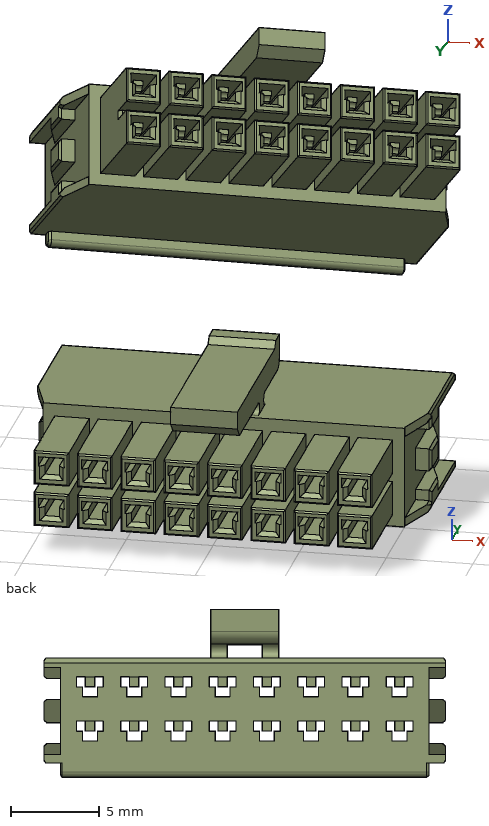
import cadquery as cq
import math


body_width = 20.85
body_length = 9.85
body_top = 3.0
body_bottom = -2.95
flange_width = 22.7
flange_inner = 2.45
flange_taper_start = 2.95
flange_taper_end = 0.15
rear_chamfer_length = 0.4
rear_chamfer_height = 0.28
edge_chamfer_width = 0.1
edge_chamfer_height = 0.16

wedge_height = 1.33
wedge_outer_bottom = 1.83
wedge_rear = 7.7
wedge_crest = 5.03
wedge_front = 3.2
wedge_chamfer = 0.15

rail_length = 0.8
rail_drop = 0.8
rail_edge_radius = 0.3
rail_end_chamfer = 0.1
rail_end_margin = 0.16

columns = 8
pitch = 2.5
tower_size = 2.0
tower_reach = 5.85
tower_chamfer = 0.09

web_thickness = 0.52
web_front = -4.13
web_bevel = 0.2

opening_width = 1.5
opening_top = 0.68
opening_step = 0.12
channel_width = 0.83
channel_bottom = -0.43
mouth_width = 1.34
mouth_bottom = -0.66
mouth_depth = 0.25

tab_width = 0.54
tab_front = -4.6
tab_arc_radius = 0.27
tab_rear = -2.0

latch_width = 3.85
latch_rear = 6.38
latch_front = -5.52
latch_top = 5.75
latch_lever_top = 5.34
latch_step_rear = 5.31
latch_step_front = 4.97
latch_rear_underside = 3.79
latch_front_underside = 3.72
latch_rear_radius = 0.7
latch_front_chamfer = 0.6
neck_rear = 1.89
neck_front = 0.76
neck_window_width = 1.96

tower_tip = -tower_reach
half_body = body_width / 2
half_flange = flange_width / 2
column_xs = [(i - (columns - 1) / 2) * pitch for i in range(columns)]
row_zs = [-pitch / 2, pitch / 2]


def box(x_min, x_max, y_min, y_max, z_min, z_max):
    """Box given by its limits along each axis."""
    size = (x_max - x_min, y_max - y_min, z_max - z_min)
    return cq.Workplane("XY").box(*size, centered=False).translate((x_min, y_min, z_min))


def side_profile(points, width):
    """Closed YZ outline extruded symmetrically about X = 0."""
    return cq.Workplane("YZ").polyline(points).close().extrude(width / 2, both=True)


def make_flange(z_inner, z_outer):
    """Full-width plate, tapered to the body width at the front, with bevelled outer side edges."""
    outline = [
        (-half_body, flange_taper_end),
        (half_body, flange_taper_end),
        (half_flange, flange_taper_start),
        (half_flange, body_length),
        (-half_flange, body_length),
        (-half_flange, flange_taper_start),
    ]
    bevelled_half = half_flange - edge_chamfer_width
    bevel_start = z_outer - math.copysign(edge_chamfer_height, z_outer)
    section = [
        (-half_flange, z_inner),
        (half_flange, z_inner),
        (half_flange, bevel_start),
        (bevelled_half, z_outer),
        (-bevelled_half, z_outer),
        (-half_flange, bevel_start),
    ]
    plate = cq.Workplane("XY", origin=(0, 0, body_bottom)).polyline(outline).close()
    plate = plate.extrude(body_top - body_bottom)
    bar = cq.Workplane("XZ").polyline(section).close().extrude(-body_length)
    return plate.intersect(bar)


def make_body():
    """Rectangular housing with top and bottom flanges."""
    body = box(-half_body, half_body, 0, body_length, body_bottom, body_top)
    body = body.union(make_flange(flange_inner, body_top))
    body = body.union(make_flange(-flange_inner, body_bottom))
    rear_corner = [
        (body_length - rear_chamfer_length, body_top),
        (body_length, body_top),
        (body_length, body_top - rear_chamfer_height),
    ]
    return body.cut(side_profile(rear_corner, flange_width))


def make_wedge(z_min, z_max):
    """Ramped key on the -X side wall."""
    outline = [
        (-half_body, wedge_rear),
        (-half_flange, wedge_crest),
        (-half_flange, wedge_front),
        (-half_body, wedge_front),
    ]
    wedge = cq.Workplane("XY").polyline(outline).close().extrude(z_max - z_min)
    return wedge.translate((0, 0, z_min))


def add_wedges(body):
    """Three keys on each side; the outer two run into the flanges, and the crests are chamfered."""
    limits = [
        (-wedge_height / 2, wedge_height / 2),
        (wedge_outer_bottom, body_top - edge_chamfer_height),
        (body_bottom + edge_chamfer_height, -wedge_outer_bottom),
    ]
    for z_min, z_max in limits:
        wedge = make_wedge(z_min, z_max)
        body = body.union(wedge).union(wedge.mirror("YZ"))
    margin = 0.01
    for side in (-1, 1):
        crest_edges = cq.selectors.BoxSelector(
            (side * half_flange - margin, flange_taper_start, -flange_inner - margin),
            (side * half_flange + margin, wedge_crest - margin, flange_inner + margin),
        )
        body = body.edges(crest_edges).chamfer(wedge_chamfer)
    return body


def make_rail():
    """Bar hanging below the rear edge, with rounded lower edges and bevelled ends."""
    rail = box(-half_body, half_body, body_length - rail_length, body_length, body_bottom - rail_drop, body_bottom)
    rail = rail.edges("|X and <Z").fillet(rail_edge_radius)
    return rail.faces("<X or >X").edges("not >Z").chamfer(rail_end_chamfer, rail_end_margin)


def make_towers():
    """Two rows of square towers standing forward of the body."""
    towers = cq.Workplane("XY")
    half = tower_size / 2
    for x in column_xs:
        for z in row_zs:
            tower = box(x - half, x + half, tower_tip, 0, z - half, z + half)
            towers = towers.add(tower.faces("<Y").edges().chamfer(tower_chamfer))
    return towers.combine()


def make_row_web():
    """Bevelled web joining the two towers of the first column along their outer side."""
    left = column_xs[0] - tower_size / 2
    gap = pitch - tower_size
    web = box(left, left + web_thickness, web_front, 0, -gap / 2, gap / 2)
    return web.edges("<X and <Y").chamfer(web_bevel)


def make_tab():
    """Tab hanging from the socket ceiling with a hollow under its front, for a tower at the origin."""
    arc_offset = tab_arc_radius * math.sqrt(0.5)
    return (
        cq.Workplane("YZ")
        .moveTo(tab_front, opening_top)
        .lineTo(tab_front, opening_step + tab_arc_radius)
        .threePointArc(
            (tab_front + arc_offset, opening_step + arc_offset),
            (tab_front + tab_arc_radius, opening_step),
        )
        .lineTo(tab_rear, opening_step)
        .lineTo(tab_rear, opening_top)
        .close()
        .extrude(tab_width / 2, both=True)
    )


def make_socket():
    """Through opening with a tapered mouth and a tab left standing, for a tower at the origin."""
    half_opening = opening_width / 2
    half_channel = channel_width / 2
    socket = box(-half_opening, half_opening, tower_tip, body_length, opening_step, opening_top)
    socket = socket.union(box(-half_channel, half_channel, tower_tip, body_length, channel_bottom, opening_step))
    half_mouth = mouth_width / 2
    mouth = (
        cq.Workplane("XZ", origin=(0, tower_tip, 0))
        .polyline([
            (-half_mouth, opening_step),
            (half_mouth, opening_step),
            (half_mouth, mouth_bottom),
            (-half_mouth, mouth_bottom),
        ])
        .close()
        .workplane(offset=-mouth_depth)
        .polyline([
            (-half_channel, opening_step),
            (half_channel, opening_step),
            (half_channel, channel_bottom),
            (-half_channel, channel_bottom),
        ])
        .close()
        .loft(ruled=True)
    )
    return socket.union(mouth).cut(make_tab())


def make_latch():
    """Lever on a two-legged neck; the gaps under the lever end in half rounds."""
    front_radius = (latch_front_underside - body_top) / 2
    rear_radius = (latch_rear_underside - body_top) / 2
    lever = (
        cq.Workplane("YZ")
        .moveTo(latch_rear, latch_top)
        .lineTo(latch_step_rear, latch_top)
        .lineTo(latch_step_front, latch_lever_top)
        .lineTo(latch_front, latch_lever_top)
        .lineTo(latch_front, latch_front_underside + latch_front_chamfer)
        .lineTo(latch_front + latch_front_chamfer, latch_front_underside)
        .lineTo(neck_front - front_radius, latch_front_underside)
        .threePointArc((neck_front, body_top + front_radius), (neck_front - front_radius, body_top))
        .lineTo(neck_rear + rear_radius, body_top)
        .threePointArc((neck_rear, body_top + rear_radius), (neck_rear + rear_radius, latch_rear_underside))
        .lineTo(latch_rear - latch_rear_radius, latch_rear_underside)
        .tangentArcPoint((latch_rear_radius, latch_rear_radius))
        .close()
        .extrude(latch_width / 2, both=True)
    )
    half_window = neck_window_width / 2
    window_front = neck_front - front_radius
    window_rear = neck_rear + rear_radius
    return lever.cut(box(-half_window, half_window, window_front, window_rear, body_top, latch_front_underside))


result = add_wedges(make_body()).union(make_rail()).union(make_towers())
result = result.union(make_row_web()).union(make_latch())
socket_cutter = make_socket()
for column_x in column_xs:
    for row_z in row_zs:
        result = result.cut(socket_cutter.translate((column_x, 0, row_z)))